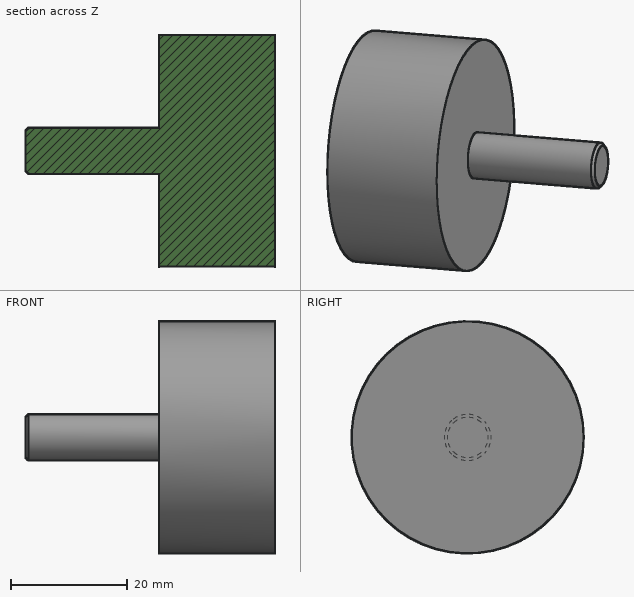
import cadquery as cq

total_length = 43.0
body_diameter = 40.0
body_length = body_diameter / 2
stud_diameter = 8.0
stud_length = total_length - body_length
tip_chamfer = 0.5

body = cq.Workplane("YZ").circle(body_diameter / 2).extrude(body_length)

stud = (
    cq.Workplane("YZ")
    .circle(stud_diameter / 2)
    .extrude(-stud_length)
    .faces("<X")
    .chamfer(tip_chamfer)
)

result = body.union(stud)